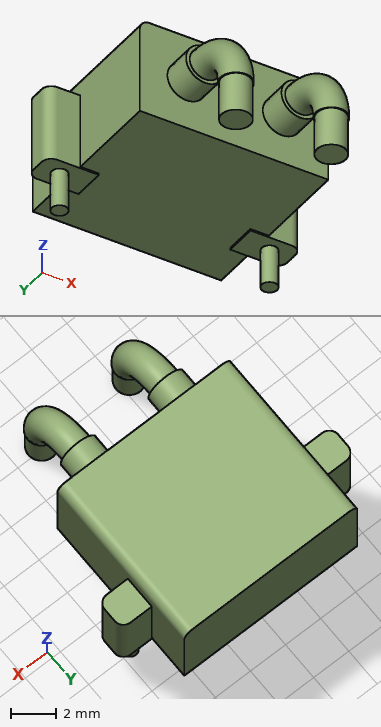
import cadquery as cq


body_width = 9.86
body_depth = 9.0
body_bottom = 0.08
body_top = 5.09
body_edge_radius = 0.5

overall_width = 13.3
ear_length = 2.68
ear_depth = 1.7
ear_height = 3.99
ear_corner_radius = 0.5
ear_y = -3.15
pin_diameter = 0.81
pin_x = 5.5
tip_drop = 2.01

overall_depth = 13.95
lead_x = 2.5
collar_diameter = 2.0
collar_length = 1.56
bend_diameter = 1.6
leg_diameter = 1.5
collar_front = -body_depth - collar_length
bend_radius = overall_depth - body_depth - collar_length - bend_diameter / 2
lead_height = bend_radius
leg_y = collar_front - bend_radius


def make_body():
    block = cq.Workplane("XY").box(
        body_width, body_depth, body_top - body_bottom, centered=(True, False, False)
    )
    block = block.translate((0, -body_depth, body_bottom))
    return block.edges("|Y and >Z").fillet(body_edge_radius)


def vertical_post(x, y, diameter):
    """Round post hanging from height zero down to the common tip level."""
    return cq.Workplane("XY").center(x, y).circle(diameter / 2).extrude(-tip_drop)


def make_ear(side):
    ear_x = side * (overall_width - ear_length) / 2
    outer_face = ">X" if side > 0 else "<X"
    ear = cq.Workplane("XY").box(
        ear_length, ear_depth, ear_height, centered=(True, True, False)
    )
    ear = ear.faces(outer_face).edges("|Z").fillet(ear_corner_radius)
    ear = ear.translate((ear_x, ear_y, 0))
    return ear.union(vertical_post(side * pin_x, ear_y, pin_diameter))


def make_lead(x):
    collar = (
        cq.Workplane("XZ", origin=(x, -body_depth, lead_height))
        .circle(collar_diameter / 2)
        .extrude(collar_length)
    )
    bend = (
        cq.Workplane("XZ", origin=(x, collar_front, lead_height))
        .circle(bend_diameter / 2)
        .revolve(90, (0, -bend_radius, 0), (1, -bend_radius, 0))
    )
    leg = vertical_post(x, leg_y, leg_diameter)
    return collar.union(bend).union(leg)


result = make_body()
for side in (-1, 1):
    result = result.union(make_ear(side))
    result = result.union(make_lead(side * lead_x))